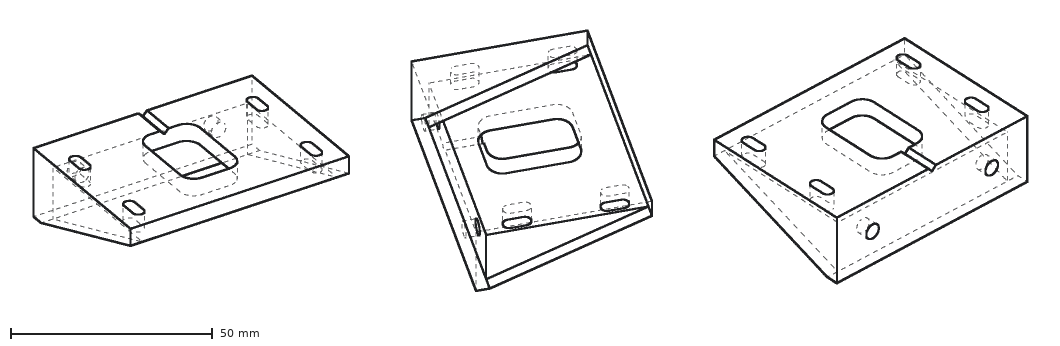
import cadquery as cq

depth = 45.0
width = 64.0
height = 20.0

wall_thickness = 3.5
plate_thickness = 5.0

window_start = 10.0
window_length = 24.0
window_width = 16.0
window_radius = 4.0

slot_length = 7.2
slot_width = 3.15
first_slot_x = 12.0
slot_spacing_x = 25.0
slot_spacing_y = 52.0

bolt_diameter = 4.2
bolt_spacing = 40.0

groove_width = 2.55
groove_depth = groove_width / 2


def make_wedge():
    """Side profile in XZ, extruded symmetrically about Y = 0."""
    profile = [
        (0, 0),
        (wall_thickness, 0),
        (depth, height - plate_thickness),
        (depth, height),
        (0, height),
    ]
    return cq.Workplane("XZ").polyline(profile).close().extrude(width / 2, both=True)


def make_hollow():
    """Space under the top plate, between the side walls and in front of the upright wall."""
    return cq.Workplane("XY").box(
        depth - wall_thickness,
        width - 2 * wall_thickness,
        height - plate_thickness,
        centered=(False, True, False),
    ).translate((wall_thickness, 0, 0))


def make_window():
    center_x = window_start + window_length / 2
    block = cq.Workplane("XY").center(center_x, 0).rect(window_length, window_width).extrude(height)
    return block.edges("|Z").fillet(window_radius)


def make_slots():
    center_x = first_slot_x + slot_spacing_x / 2
    return (
        cq.Workplane("XY")
        .center(center_x, 0)
        .rarray(slot_spacing_x, slot_spacing_y, 2, 2)
        .slot2D(slot_length, slot_width)
        .extrude(height)
    )


def make_bolt_holes():
    return (
        cq.Workplane("YZ")
        .center(0, height / 2)
        .rarray(bolt_spacing, 0.65, 2, 1)
        .circle(bolt_diameter / 2)
        .extrude(depth)
    )


def make_groove():
    """Triangular prism that ends inside the window."""
    section = [
        (-groove_width / 2, height),
        (0, height - groove_depth),
        (groove_width / 2, height),
    ]
    groove_end = window_start + window_length / 2
    return cq.Workplane("YZ").polyline(section).close().extrude(groove_end)


result = (
    make_wedge()
    .cut(make_hollow())
    .cut(make_window())
    .cut(make_slots())
    .cut(make_bolt_holes())
    .cut(make_groove())
)